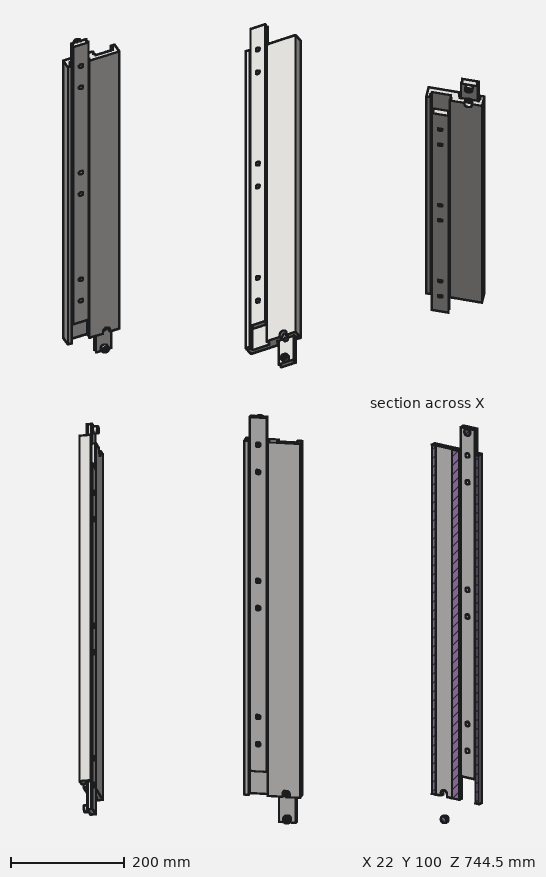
import cadquery as cq


total_height = 744.51
total_thickness = 22.0
slide_protrusion = 1.0
housing_thickness = total_thickness - 2 * slide_protrusion
housing_width = 100.0
housing_length = 650.0

slide_thickness = 10.0
slide_width = 30.0
slide_length = 650.0
lower_extension = 50.0
upper_extension = total_height - housing_length - lower_extension
slide_offset_y = 25.0

side_clearance = 2.0
back_clearance = 2.0
channel_width = slide_width + 2 * side_clearance
channel_depth = slide_thickness - slide_protrusion + back_clearance

track_diameter = 6.0
track_offset_y = (slide_width + side_clearance) / 2
track_depth = 5.5

hole_diameter = 8.0
hole_pair_spacing = 50.0
hole_group_pitch = 250.0
hole_groups = 3
first_hole = 50.0

pin_diameter = 13.0
pin_height = 8.0
pin_chamfer = 1.0
socket_diameter = 6.0
socket_depth = 5.0
pin_end_distance = 6.75
notch_diameter = 13.0
notch_centre = 5.0

housing_face = -housing_thickness / 2
slide_face = -total_thickness / 2


def half_turn(body):
    """Turn a body about the Y direction through the middle of the housing and move it to -Y."""
    middle = housing_length / 2
    turned = body.rotate((0, 0, middle), (0, 1, middle), 180)
    return turned.translate((0, -2 * slide_offset_y, 0))


def ball_tracks(length, start):
    """Two round bars that cut the tracks along both edges of the -X slide."""
    track_x = slide_face + track_depth
    centres = [(track_x, slide_offset_y + side * track_offset_y) for side in (-1, 1)]
    return (
        cq.Workplane("XY", origin=(0, 0, start))
        .pushPoints(centres)
        .circle(track_diameter / 2)
        .extrude(length)
    )


def make_slide(extension):
    """Slide in the -X channel that stands out of the housing's lower end by the extension."""
    outer_end = -extension
    bar = (
        cq.Workplane("XY", origin=(slide_face + slide_thickness / 2, slide_offset_y, outer_end))
        .rect(slide_thickness, slide_width)
        .extrude(slide_length)
        .cut(ball_tracks(slide_length, outer_end))
    )

    pin = (
        cq.Workplane("YZ", origin=(slide_face + slide_thickness, 0, 0))
        .center(slide_offset_y, outer_end + pin_end_distance)
        .circle(pin_diameter / 2)
        .extrude(pin_height)
        .faces(">X")
        .edges()
        .chamfer(pin_chamfer)
        .faces(">X")
        .workplane(centerOption="CenterOfBoundBox")
        .hole(socket_diameter, socket_depth)
    )

    hole_heights = [
        outer_end + first_hole + group * hole_group_pitch + step * hole_pair_spacing
        for group in range(hole_groups)
        for step in (0, 1)
    ]
    holes = (
        cq.Workplane("YZ", origin=(slide_face, 0, 0))
        .pushPoints([(slide_offset_y, height) for height in hole_heights])
        .circle(hole_diameter / 2)
        .extrude(slide_thickness)
    )
    return bar.union(pin).cut(holes)


def channel_cutter():
    """Space for the -X slide: the channel, its ball tracks and the pin notch behind it."""
    channel = (
        cq.Workplane("XY", origin=(housing_face + channel_depth / 2, slide_offset_y, 0))
        .rect(channel_depth, channel_width)
        .extrude(housing_length)
    )
    notch_radius = notch_diameter / 2
    notch = (
        cq.Workplane("YZ", origin=(housing_face + channel_depth, 0, 0))
        .moveTo(slide_offset_y - notch_radius, 0)
        .lineTo(slide_offset_y - notch_radius, notch_centre)
        .threePointArc(
            (slide_offset_y, notch_centre + notch_radius),
            (slide_offset_y + notch_radius, notch_centre),
        )
        .lineTo(slide_offset_y + notch_radius, 0)
        .close()
        .extrude(housing_thickness - channel_depth)
    )
    return channel.union(ball_tracks(housing_length, 0)).union(notch)


def make_housing():
    block = cq.Workplane("XY").rect(housing_thickness, housing_width).extrude(housing_length)
    cutter = channel_cutter()
    return block.cut(cutter).cut(half_turn(cutter))


housing = make_housing()
lower_slide = make_slide(lower_extension)
upper_slide = half_turn(make_slide(upper_extension))

result = cq.Compound.makeCompound([housing.val(), lower_slide.val(), upper_slide.val()])